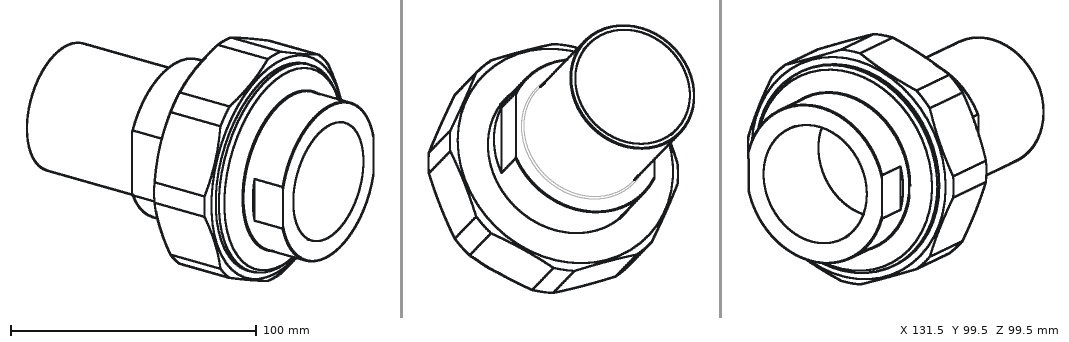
import cadquery as cq
import math

TUBE_END = 0.0
TAIL_SHOULDER = 55.0
TAIL_FLAT_END = 71.7
NUT_START = 78.0
NUT_END = 106.1
RIM_END = 107.7
BEVEL_END = 109.4
CONE_END = 112.4
SOCKET_FLAT_START = 117.3
SOCKET_END = 131.5

BORE_DIA = 50.0
TUBE_DIA = 54.0
SLEEVE_DIA = 67.0
SLEEVE_EDGE_DIA = 66.5
NUT_BORE_DIA = 67.6
RIM_DIA = 87.8
BEVEL_DIA = 85.0
NUT_CORNER_DIA = 99.5
NUT_FACE_DIA = 93.9

NUT_SIDES = 8
NUT_ACROSS_FLATS = 95.1
NUT_CHAMFER_LENGTH = 1.6
TAIL_ACROSS_FLATS = 60.5
SOCKET_ACROSS_FLATS = 64.5
TUBE_EDGE_BREAK = 0.3
WELD_RADIUS = 0.8
CONE_ROOT_RADIUS = 0.4
SLEEVE_EDGE_BREAK = (SLEEVE_DIA - SLEEVE_EDGE_DIA) / 2

NUT_LIP = 6.6
TAIL_FLANGE = 5.3
LIP_INNER_FACE = NUT_START + NUT_LIP
JOINT_FACE = LIP_INNER_FACE + TAIL_FLANGE


def revolve_profile(points):
    """Revolve an outline of (axial position, diameter) points about the X axis."""
    outline = [(x, diameter / 2) for x, diameter in points]
    return cq.Workplane("XY").polyline(outline).close().revolve(360, (0, 0, 0), (1, 0, 0))


def fillet_root(body, x, diameter, radius):
    """Round the circular inside corner at an axial position."""
    tolerance = 0.07
    half = diameter / 2 + tolerance
    selector = cq.selectors.BoxSelector(
        (x - tolerance, -half, -half),
        (x + tolerance, half, half),
        boundingbox=True,
    )
    return body.edges(selector).fillet(radius)


def cut_wrench_flats(body, start, end, across_flats):
    """Cut two flats, facing -Y and +Y, over an axial stretch of a sleeve."""
    length = end - start
    depth = SLEEVE_DIA - across_flats
    for side in (-1, 1):
        cutter = cq.Workplane("XY").box(length, depth, SLEEVE_DIA)
        offset = side * (across_flats + depth) / 2
        body = body.cut(cutter.translate(((start + end) / 2, offset, 0)))
    return body


def make_tail():
    """Tube with a fillet weld, a sleeve with flats, and the flange held by the nut."""
    body = revolve_profile([
        (TUBE_END, BORE_DIA),
        (TUBE_END, TUBE_DIA - 2 * TUBE_EDGE_BREAK),
        (TUBE_END + TUBE_EDGE_BREAK, TUBE_DIA),
        (TAIL_SHOULDER, TUBE_DIA),
        (TAIL_SHOULDER, SLEEVE_EDGE_DIA),
        (TAIL_SHOULDER + SLEEVE_EDGE_BREAK, SLEEVE_DIA),
        (LIP_INNER_FACE, SLEEVE_DIA),
        (LIP_INNER_FACE, RIM_DIA),
        (JOINT_FACE, RIM_DIA),
        (JOINT_FACE, BORE_DIA),
    ])
    body = fillet_root(body, TAIL_SHOULDER, TUBE_DIA, WELD_RADIUS)
    return cut_wrench_flats(body, TAIL_SHOULDER, TAIL_FLAT_END, TAIL_ACROSS_FLATS)


def make_nut():
    """Octagonal union nut with rounded corners, chamfered faces and an inner lip."""
    corner_to_corner = NUT_ACROSS_FLATS / math.cos(math.pi / NUT_SIDES)
    octagon = (
        cq.Workplane("YZ", origin=(NUT_START, 0, 0))
        .polygon(NUT_SIDES, corner_to_corner)
        .extrude(NUT_END - NUT_START)
    )
    turned_ring = revolve_profile([
        (NUT_START, NUT_BORE_DIA),
        (NUT_START, NUT_FACE_DIA),
        (NUT_START + NUT_CHAMFER_LENGTH, NUT_CORNER_DIA),
        (NUT_END - NUT_CHAMFER_LENGTH, NUT_CORNER_DIA),
        (NUT_END, NUT_FACE_DIA),
        (NUT_END, RIM_DIA),
        (LIP_INNER_FACE, RIM_DIA),
        (LIP_INNER_FACE, NUT_BORE_DIA),
    ])
    return octagon.intersect(turned_ring)


def make_socket():
    """Socket that fills the nut bore, tapers behind it, and ends in a sleeve with flats."""
    body = revolve_profile([
        (JOINT_FACE, BORE_DIA),
        (JOINT_FACE, RIM_DIA),
        (RIM_END, RIM_DIA),
        (BEVEL_END, BEVEL_DIA),
        (CONE_END, SLEEVE_DIA),
        (SOCKET_END - SLEEVE_EDGE_BREAK, SLEEVE_DIA),
        (SOCKET_END, SLEEVE_EDGE_DIA),
        (SOCKET_END, BORE_DIA),
    ])
    body = fillet_root(body, CONE_END, SLEEVE_DIA, CONE_ROOT_RADIUS)
    return cut_wrench_flats(body, SOCKET_FLAT_START, SOCKET_END, SOCKET_ACROSS_FLATS)


tail = make_tail()
nut = make_nut()
socket = make_socket()

result = cq.Compound.makeCompound([tail.val(), nut.val(), socket.val()])